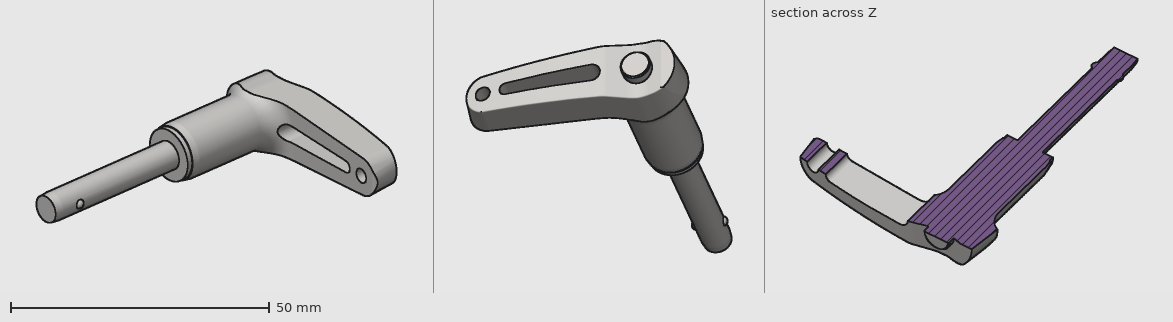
import cadquery as cq
import math

total_length = 63.6
pin_taper_end = 1.9
ball_station = 6.25
collar_start = 32.1
collar_end = 33.25
sleeve_taper_end = 34.85
flare_start = 51.0
blank_top = 63.6

pin_radius = 3.0
pin_tip_radius = 2.8
collar_radius = 5.5
sleeve_end_radius = 5.65
sleeve_radius = 5.9
flare_radius = 4.25
button_chamfer = 0.25

ball_radius = 0.985
ball_offset = 2.6

hub_radius = 6.33
side_angle = math.atan(0.0707)
head_center = -2.35
handle_end_center = 31.5
handle_tip = 35.4
tip_lean = 1.6
tip_lean_below = 0.25
edge_round = 0.25

underside_start = flare_start + flare_radius
underside_bend = sleeve_radius + flare_radius
underside_end = 54.0
tip_round = 1.0
arm_top_end = 60.2
arm_crown_mid = 22.9
arm_crown_height = 62.15
arm_top_start = 6.7
arm_top = 63.0
arm_blend_radius = 5.1
dip_corner_height = 61.05
dip_radius = 7.65
head_top_x = -4.85
head_top = 62.4
rim_floor = 59.8

relief_radius = 7.65
relief_lean = 6.5
relief_back = -8.45
relief_station = 54.75

slot_start_center = 9.0
slot_start_radius = 1.85
slot_end_center = 26.4
slot_end_radius = 1.3
hole_center = 31.15
hole_radius = 1.495


def plan_at(station):
    """Sketch plane facing +Y, with local x along X and local y along Z."""
    return cq.Workplane(cq.Plane((0, station, 0), (1, 0, 0), (0, 1, 0)))


def spin(outline):
    return outline.close().revolve(360, (0, 0, 0), (0, 1, 0))


def side_half_width(x):
    """Half width of the handle, on sides tangent to the hub circle."""
    return hub_radius / math.cos(side_angle) - x * math.tan(side_angle)


def make_pin():
    pin = spin(
        cq.Workplane("XY")
        .lineTo(pin_tip_radius, 0)
        .lineTo(pin_radius, pin_taper_end)
        .lineTo(pin_radius, total_length - button_chamfer)
        .lineTo(pin_radius - button_chamfer, total_length)
        .lineTo(0, total_length)
    )
    for side in (-1, 1):
        ball = cq.Workplane("XY").sphere(ball_radius)
        pin = pin.union(ball.translate((side * ball_offset, ball_station, 0)))
    return pin


def make_sleeve():
    return spin(
        cq.Workplane("XY")
        .moveTo(0, collar_start)
        .lineTo(collar_radius, collar_start)
        .lineTo(collar_radius, collar_end)
        .lineTo(sleeve_end_radius, collar_end)
        .lineTo(sleeve_radius, sleeve_taper_end)
        .lineTo(sleeve_radius, flare_start)
        .lineTo(0, flare_start)
    )


def make_flare():
    rim = sleeve_radius + flare_radius
    diagonal = flare_radius * math.sqrt(0.5)
    return spin(
        cq.Workplane("XY")
        .moveTo(0, flare_start)
        .lineTo(sleeve_radius, flare_start)
        .threePointArc(
            (rim - diagonal, flare_start + diagonal),
            (rim, flare_start + flare_radius),
        )
        .lineTo(0, flare_start + flare_radius)
    )


def handle_plan(station, tip):
    """Draw the handle's closed plan, rounded at the head and at the tip."""
    head_radius = hub_radius + head_center * math.sin(side_angle)
    head_x = head_center - head_radius * math.sin(side_angle)
    head_z = head_radius * math.cos(side_angle)
    hub_x = hub_radius * math.sin(side_angle)
    hub_z = hub_radius * math.cos(side_angle)
    end_z = side_half_width(handle_end_center)
    return (
        plan_at(station)
        .moveTo(head_x, -head_z)
        .threePointArc((head_center - head_radius, 0), (head_x, head_z))
        .lineTo(-hub_x, hub_z)
        .threePointArc((0, hub_radius), (hub_x, hub_z))
        .lineTo(handle_end_center, end_z)
        .threePointArc((tip, 0), (handle_end_center, -end_z))
        .lineTo(hub_x, -hub_z)
        .threePointArc((0, -hub_radius), (-hub_x, -hub_z))
        .close()
    )


def make_handle_blank():
    """Prism of the handle plan whose tip leans inward toward the top."""
    lower_tip = handle_tip + tip_lean * tip_lean_below
    upper_tip = lower_tip - tip_lean
    lower = handle_plan(flare_start, lower_tip).wires().val()
    upper = handle_plan(blank_top, upper_tip).wires().val()
    blank = cq.Workplane(cq.Solid.makeLoft([lower, upper], True))
    relief_x = relief_back + relief_radius / math.cos(math.radians(relief_lean))
    relief = (
        plan_at(0)
        .circle(relief_radius)
        .extrude(total_length, both=True)
        .rotate((0, 0, 0), (0, 0, 1), -relief_lean)
        .translate((relief_x, relief_station, 0))
    )
    back = cq.Workplane("XY").box(total_length, 2 * total_length, total_length)
    back = back.translate((head_center - total_length / 2, total_length, 0))
    return blank.cut(back.cut(relief))


def round_corner(profile, x, y, radius):
    """Round the profile edge that runs along Z through (x, y)."""
    corner = cq.selectors.NearestToPointSelector((x, y, 0))
    return profile.edges("|Z").edges(corner).fillet(radius)


def make_handle():
    """Side profile of the head and arm, trimmed to the handle blank, with its top rim rounded."""
    bulge = tip_round * (1 - math.sqrt(0.5))
    profile = (
        cq.Workplane("XY")
        .moveTo(-hub_radius * 2, underside_start)
        .lineTo(underside_bend, underside_start)
        .lineTo(handle_tip - tip_round, underside_end)
        .threePointArc(
            (handle_tip - bulge, underside_end + bulge),
            (handle_tip, underside_end + tip_round),
        )
        .lineTo(handle_tip, arm_top_end)
        .threePointArc((arm_crown_mid, arm_crown_height), (arm_top_start, arm_top))
        .lineTo(0, dip_corner_height)
        .lineTo(head_top_x, head_top)
        .lineTo(-hub_radius * 2, head_top)
        .close()
        .extrude(hub_radius * 2, both=True)
    )
    profile = round_corner(profile, 0, dip_corner_height, dip_radius)
    profile = round_corner(profile, arm_top_start, arm_top, arm_blend_radius)
    body = profile.intersect(make_handle_blank())
    rim_box = cq.selectors.BoxSelector(
        (head_top_x, rim_floor, -total_length), (total_length, total_length, total_length)
    )
    rim = body.edges(rim_box).edges("not(|Z)")
    return body.newObject(rim.vals()).fillet(edge_round)


def make_slot():
    """Tapered slot: two end circles joined by their common tangents."""
    spacing = slot_end_center - slot_start_center
    tangent = math.asin((slot_start_radius - slot_end_radius) / spacing)
    start_x = slot_start_center + slot_start_radius * math.sin(tangent)
    start_z = slot_start_radius * math.cos(tangent)
    end_x = slot_end_center + slot_end_radius * math.sin(tangent)
    end_z = slot_end_radius * math.cos(tangent)
    return (
        plan_at(collar_start)
        .moveTo(start_x, -start_z)
        .threePointArc((slot_start_center - slot_start_radius, 0), (start_x, start_z))
        .lineTo(end_x, end_z)
        .threePointArc((slot_end_center + slot_end_radius, 0), (end_x, -end_z))
        .close()
        .extrude(total_length)
    )


def make_lanyard_hole():
    return plan_at(collar_start).center(hole_center, 0).circle(hole_radius).extrude(total_length)


neck = make_flare().intersect(make_handle_blank())
handle = make_handle().union(neck)
result = make_sleeve().union(handle).cut(make_slot()).cut(make_lanyard_hole()).union(make_pin())